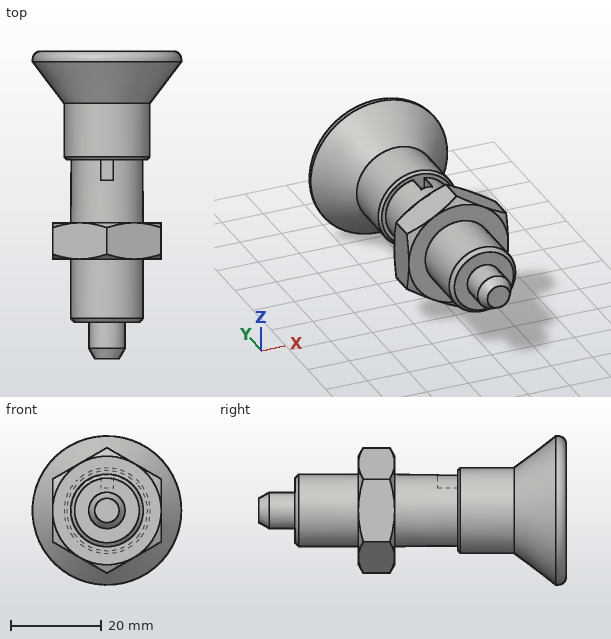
import cadquery as cq
import math

total_length = 68.0
pin_length = 8.0
pin_tip_length = 2.3
nut_start = 22.0
nut_thickness = 8.0
neck_taper_start = nut_start + nut_thickness
collar_start = 44.0
cone_start = 56.45
rim_start = 65.7
rim_band = 0.5

pin_diameter = 8.0
pin_tip_diameter = 5.4
body_diameter = 16.05
neck_diameter = 15.85
collar_diameter = 19.0
knob_diameter = 33.0

body_chamfer = 0.9
collar_chamfer = 0.6
rim_radius = total_length - rim_start - rim_band
nut_across_flats = 24.0
nut_chamfer_angle = 30.0
slot_width = 2.7
slot_end = 39.45
slot_depth = 3.0


def make_plunger():
    """Pin, body, neck and knob as one revolved profile (radius, axial position)."""
    pin_radius = pin_diameter / 2
    body_radius = body_diameter / 2
    collar_radius = collar_diameter / 2
    knob_radius = knob_diameter / 2
    rim_diagonal = rim_radius * math.sqrt(0.5)
    rim_arc_middle = (
        knob_radius - rim_radius + rim_diagonal,
        total_length - rim_radius + rim_diagonal,
    )
    profile = (
        cq.Workplane("XY")
        .moveTo(0, 0)
        .lineTo(pin_tip_diameter / 2, 0)
        .lineTo(pin_radius, pin_tip_length)
        .lineTo(pin_radius, pin_length)
        .lineTo(body_radius - body_chamfer, pin_length)
        .lineTo(body_radius, pin_length + body_chamfer)
        .lineTo(body_radius, neck_taper_start)
        .lineTo(neck_diameter / 2, collar_start)
        .lineTo(collar_radius - collar_chamfer, collar_start)
        .lineTo(collar_radius, collar_start + collar_chamfer)
        .lineTo(collar_radius, cone_start)
        .lineTo(knob_radius, rim_start)
        .lineTo(knob_radius, rim_start + rim_band)
        .threePointArc(rim_arc_middle, (knob_radius - rim_radius, total_length))
        .lineTo(0, total_length)
        .close()
    )
    return profile.revolve(360, (0, 0, 0), (0, 1, 0))


def make_nut():
    """Hexagon nut with corners at top and bottom, chamfered on both faces."""
    corner_radius = nut_across_flats / math.sqrt(3)
    flat_radius = nut_across_flats / 2
    chamfer_depth = (corner_radius - flat_radius) * math.tan(math.radians(nut_chamfer_angle))
    nut_end = nut_start + nut_thickness
    hexagon = (
        cq.Workplane("XZ", origin=(0, nut_end, 0))
        .transformed(rotate=(0, 0, 90))
        .polygon(6, 2 * corner_radius)
        .extrude(nut_thickness)
    )
    chamfer_envelope = (
        cq.Workplane("XY")
        .moveTo(0, nut_start)
        .lineTo(flat_radius, nut_start)
        .lineTo(corner_radius, nut_start + chamfer_depth)
        .lineTo(corner_radius, nut_end - chamfer_depth)
        .lineTo(flat_radius, nut_end)
        .lineTo(0, nut_end)
        .close()
        .revolve(360, (0, 0, 0), (0, 1, 0))
    )
    return hexagon.intersect(chamfer_envelope)


def make_slot():
    """Cutter for the locking slot in the top of the neck, ending at the collar face."""
    return cq.Workplane("XY").box(
        slot_width, collar_start - slot_end, body_diameter, centered=(True, False, False)
    ).translate((0, slot_end, body_diameter / 2 - slot_depth))


result = make_plunger().cut(make_slot()).union(make_nut())
result = result.translate((0, -total_length / 2, 0))